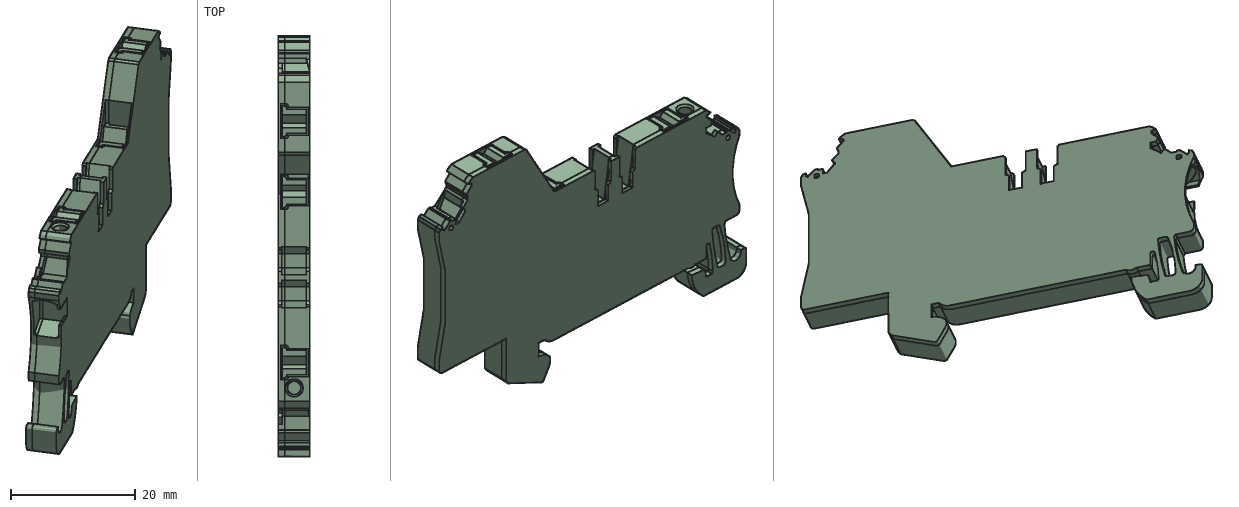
import cadquery as cq

LENGTH = 67.8
THICKNESS = 5.1
COVER_THICKNESS = 1.0
HIGH_TOP = 47.55
LOW_TOP = 36.15
BODY_BOTTOM = 12.4
RAIL_TOP = 7.1
FRONT_WALL = 1.5

LATCH = [
    (0.0, 7.4), (0.3, 6.85), (0.8, 6.65), (0.8, 7.2), (1.1, 7.45), (2.4, 6.25), (2.8, 6.25),
    (2.9, 6.45), (3.8, 6.45), (6.3, 3.9), (6.3, 3.45), (6.05, 2.7), (7.2, 1.4), (7.1, 1.1),
    (6.4, 0.9), (6.85, 0.4), (7.45, 0.0),
]

SLOT_CENTERS = (26.25, 31.6)
SLOT_MOUTH = 3.45
SLOT_FLOOR_WIDTH = 2.25
SLOT_STEP_DROP = 3.9
SLOT_STEP_HEIGHT = 0.4
SLOT_DEPTH = 7.4
DECK_CHAMFER = 0.35
SLOT_INNER_MOUTH = 4.5
SLOT_WALLS = (0.6, 4.5)
SLOT_INNER_DROP = 0.3

LEVER_CLEARANCE = 0.3
POCKET_X = (0.4, 4.8)
POCKET_STEM = 4.5
POCKET_FOOT = 5.55
POCKET_FOOT_END = 1.6
FOOT_CHAMFER = 0.3
POCKET_DEPTH = 4.1
LEVER_GROOVE_DEPTH = 0.9
REAR_LEVER_Y = 54.05
MIDDLE_LEVER_Y = 42.65
FRONT_LEVER_Y = 15.2
MIDDLE_LEVER_RISE = 1.7

PLAIN_GROOVE = (-0.35, 1.35, 0.7)
STEPPED_GROOVE = (0.2, 0.9, 1.1)
RELIEF_BACK_Y = 45.5

TEST_HOLE_Y = 11.1
TEST_HOLE_X = 2.6
TEST_HOLE_DIAMETER = 2.2
TEST_HOLE_MOUTH = 2.85
TEST_HOLE_DEPTH = 3.4

FUNNEL_Z = 23.65
FUNNEL_X = (0.5, 4.7)
FUNNEL_FLOOR_Y = 6.45
FUNNEL_FLOOR_HALF = 2.1
FUNNEL_MOUTH_HALF = 3.5
FUNNEL_MOUTH_Y = 2.7
FUNNEL_RADIUS = 3.8
FUNNEL_NOTCH_Z = (22.65, 25.9)

REAR_WINDOW = [(62.05, 41.8), (63.4, 40.15), (64.15, 40.15), (64.15, 41.3), (62.7, 42.7)]
FRONT_WINDOW = [(7.8, 32.7), (8.8, 32.7), (8.8, 31.6), (7.05, 30.1), (6.25, 30.9)]
REAR_CHANNEL = [(62.0, 41.8), (63.4, 40.15), (64.15, 40.15), (64.15, 41.3), (62.4, 43.55), (61.85, 43.55)]
FRONT_CHANNEL = [(7.8, 32.7), (8.8, 32.7), (8.8, 31.6), (6.6, 29.7), (5.3, 29.7)]
WINDOW_LIP = 0.7
WINDOW_WALL = 0.6

PIN_HOLES = [(65.15, 39.9), (4.0, 28.5)]
PIN_HOLE_DIAMETER = 0.9
PIN_HOLE_DEPTH = 0.7

CUT_MARGIN = 1.35


def prism(points, x_start, x_end):
    """Solid with a (Y, Z) outline, running from x_start to x_end."""
    return cq.Workplane("YZ", origin=(x_start, 0, 0)).polyline(points).close().extrude(x_end - x_start)


def block(x_range, y_range, z_range):
    """Axis-aligned box given by its ranges."""
    sizes = [high - low for low, high in (x_range, y_range, z_range)]
    corner = (x_range[0], y_range[0], z_range[0])
    return cq.Workplane("XY").box(*sizes, centered=False).translate(corner)


def body_profile():
    """Outer outline of housing and cover, running from the -Y latch over the deck and back."""
    front_latch = [(FRONT_WALL + inset, LOW_TOP - drop) for inset, drop in LATCH]
    rear_latch = [(LENGTH - inset, HIGH_TOP - drop) for inset, drop in reversed(LATCH)]
    return (
        cq.Workplane("YZ")
        .polyline(front_latch + [(42.4, LOW_TOP), (48.55, HIGH_TOP - 0.3), (49.0, HIGH_TOP)] + rear_latch)
        .lineTo(LENGTH, 38.4)
        .lineTo(66.5, 32.2)
        .lineTo(66.5, 21.85)
        .lineTo(LENGTH, 15.25)
        .lineTo(LENGTH, 13.1)
        .threePointArc((67.6, 12.6), (67.1, BODY_BOTTOM))
        .lineTo(53.0, BODY_BOTTOM)
        .lineTo(53.0, 4.1)
        .lineTo(52.55, 3.4)
        .lineTo(45.4, 0.2)
        .threePointArc((45.0, 0.15), (44.7, 0.4))
        .lineTo(43.55, 2.5)
        .threePointArc((43.25, 3.4), (43.4, 4.35))
        .threePointArc((44.35, 5.1), (45.85, 5.5))
        .lineTo(45.85, 8.15)
        .lineTo(44.55, 8.15)
        .threePointArc((43.7, 7.4), (42.6, RAIL_TOP))
        .lineTo(12.95, RAIL_TOP)
        .threePointArc((12.1, 6.85), (11.1, RAIL_TOP))
        .lineTo(8.8, RAIL_TOP)
        .lineTo(8.8, 9.5)
        .threePointArc((8.5, 9.8), (8.1, 9.4))
        .threePointArc((7.6, 6.7), (7.4, 3.85))
        .lineTo(7.6, 3.5)
        .lineTo(8.8, 3.5)
        .lineTo(9.1, 4.75)
        .threePointArc((9.3, 5.0), (9.55, 5.15))
        .lineTo(12.1, 5.35)
        .threePointArc((11.4, 2.6), (9.5, 0))
        .lineTo(2.2, 0)
        .threePointArc((0.64, 0.64), (0, 2.2))
        .lineTo(0, 4.75)
        .threePointArc((0.15, 5.0), (0.4, 5.15))
        .lineTo(1.2, 5.15)
        .threePointArc((2.4, 3.65), (3.45, 4.55))
        .threePointArc((4.35, 8.3), (4.8, 11.95))
        .lineTo(4.55, BODY_BOTTOM)
        .lineTo(2.2, BODY_BOTTOM)
        .threePointArc((1.7, 12.6), (FRONT_WALL, 13.1))
        .lineTo(FRONT_WALL, 14.25)
        .threePointArc((3.0, 21.0), (FRONT_WALL, 27.8))
        .close()
    )


def spring_opening():
    """Long opening between the two spring legs, cut through the full thickness."""
    return (
        cq.Workplane("YZ")
        .moveTo(7.5, 11.9)
        .threePointArc((7.1, 8.15), (6.4, 4.5))
        .threePointArc((6.2, 4.15), (5.8, 4.0))
        .lineTo(5.0, 4.0)
        .threePointArc((4.7, 4.2), (4.55, 4.55))
        .threePointArc((4.95, 8.5), (5.8, 11.9))
        .threePointArc((6.0, 12.2), (6.25, 12.35))
        .lineTo(7.2, 12.35)
        .threePointArc((7.45, 12.2), (7.5, 11.9))
        .close()
        .extrude(THICKNESS)
    )


def jumper_slot(center):
    """Stepped slot through the side walls plus a wider tapered opening between them."""
    floor = LOW_TOP - SLOT_DEPTH
    step = LOW_TOP - SLOT_STEP_DROP
    mouth_half = SLOT_MOUTH / 2
    floor_half = SLOT_FLOOR_WIDTH / 2
    inner_half = SLOT_INNER_MOUTH / 2
    right_side = [
        (floor_half, floor),
        (floor_half, step - SLOT_STEP_HEIGHT),
        (mouth_half, step),
        (mouth_half, LOW_TOP),
    ]
    left_side = [(-offset, z) for offset, z in reversed(right_side)]
    stepped = prism([(center + offset, z) for offset, z in right_side + left_side], 0, THICKNESS)
    taper = [
        (center - floor_half, floor - SLOT_INNER_DROP),
        (center + floor_half, floor - SLOT_INNER_DROP),
        (center + inner_half, LOW_TOP),
        (center - inner_half, LOW_TOP),
    ]
    between_walls = block(SLOT_WALLS, (center - SLOT_MOUTH, center + SLOT_MOUTH), (floor, LOW_TOP))
    return stepped.cut(between_walls).union(prism(taper, *SLOT_WALLS))


def deck_chamfer(center, direction):
    """Chamfer on the deck corner of a slot, on its +Y (1) or -Y (-1) side."""
    edge = center + direction * SLOT_MOUTH / 2
    corner = [(edge, LOW_TOP), (edge + direction * DECK_CHAMFER, LOW_TOP), (edge, LOW_TOP - DECK_CHAMFER)]
    return prism(corner, 0, THICKNESS)


def lever_column(center, inset, bottom, top):
    """T-shaped upright column: the lever pocket, or with an inset the lever itself."""
    x_foot = POCKET_X[0] + inset
    x_stem = POCKET_X[1] - inset
    foot_half = POCKET_FOOT / 2 - inset
    stem_half = POCKET_STEM / 2 - inset
    foot_end = POCKET_FOOT_END - inset
    right_side = [
        (x_foot, foot_half),
        (foot_end - FOOT_CHAMFER, foot_half),
        (foot_end, foot_half - FOOT_CHAMFER),
        (foot_end, stem_half),
        (x_stem, stem_half),
    ]
    left_side = [(x, -offset) for x, offset in reversed(right_side)]
    outline = [(x, center + offset) for x, offset in right_side + left_side]
    return cq.Workplane("XY", origin=(0, 0, bottom)).polyline(outline).close().extrude(top - bottom)


def lever_pocket(center, deck):
    """Pocket for a release lever, open upwards."""
    return lever_column(center, 0, deck - POCKET_DEPTH, HIGH_TOP + CUT_MARGIN)


def slope_relief():
    """Opening in the sloping shoulder that gives access to the middle lever."""
    back_range = (MIDDLE_LEVER_Y, RELIEF_BACK_Y)
    return block(POCKET_X, back_range, (LOW_TOP, HIGH_TOP))


def release_lever(center, deck, rise, groove):
    """T-shaped lever standing on its pocket floor, with a finger groove across its top.

    With a rise, the lever is higher behind the groove than in front of it.
    """
    offset, back_run, front_run = groove
    groove_y = center + offset
    outline = [
        (groove_y + back_run, deck + rise),
        (groove_y, deck - LEVER_GROOVE_DEPTH),
        (groove_y - front_run, deck),
    ]
    if rise:
        front_end = center - POCKET_FOOT
        outline += [(front_end, deck), (front_end, deck + rise)]
    column = lever_column(center, LEVER_CLEARANCE, deck - POCKET_DEPTH, deck + rise)
    return column.cut(prism(outline, 0, THICKNESS))


def test_hole():
    """Round blind hole with a countersunk mouth."""
    sink = (TEST_HOLE_MOUTH - TEST_HOLE_DIAMETER) / 2
    half_section = [
        (0, LOW_TOP),
        (TEST_HOLE_MOUTH / 2, LOW_TOP),
        (TEST_HOLE_DIAMETER / 2, LOW_TOP - sink),
        (TEST_HOLE_DIAMETER / 2, LOW_TOP - TEST_HOLE_DEPTH),
        (0, LOW_TOP - TEST_HOLE_DEPTH),
    ]
    hole = cq.Workplane("XZ").polyline(half_section).close().revolve(360, (0, 0, 0), (0, 1, 0))
    return hole.translate((TEST_HOLE_X, TEST_HOLE_Y, 0))


def wire_funnel():
    """Wire entry: a flat-floored flaring opening with a rounded mouth, notched through the +X wall."""
    flare = (FUNNEL_MOUTH_HALF - FUNNEL_FLOOR_HALF) / (FUNNEL_FLOOR_Y - FUNNEL_MOUTH_Y)
    outer_half = FUNNEL_FLOOR_HALF + flare * FUNNEL_FLOOR_Y
    opening = prism(
        [
            (FUNNEL_FLOOR_Y, FUNNEL_Z - FUNNEL_FLOOR_HALF),
            (FUNNEL_FLOOR_Y, FUNNEL_Z + FUNNEL_FLOOR_HALF),
            (0, FUNNEL_Z + outer_half),
            (0, FUNNEL_Z - outer_half),
        ],
        *FUNNEL_X,
    )
    rounding = (
        cq.Workplane("XZ", origin=(sum(FUNNEL_X) / 2, 0, FUNNEL_Z))
        .circle(FUNNEL_RADIUS)
        .extrude(-FUNNEL_FLOOR_Y)
    )
    notch = block((FUNNEL_X[1], THICKNESS), (0, FUNNEL_FLOOR_Y), FUNNEL_NOTCH_Z)
    return opening.intersect(rounding).union(notch)


def marker_window(window, channel):
    """Window in the cover side opening into a longer channel behind its lip.

    A wall is left on the +X side, tapering to nothing towards -Y.
    """
    y_values = [y for y, z in window]
    wall = (
        cq.Workplane("XY")
        .moveTo(THICKNESS, min(y_values))
        .lineTo(THICKNESS, max(y_values))
        .lineTo(THICKNESS - WINDOW_WALL, max(y_values))
        .close()
        .extrude(HIGH_TOP)
    )
    opening = prism(window, 0, THICKNESS).union(prism(channel, WINDOW_LIP, THICKNESS))
    return opening.cut(wall)


def pin_holes():
    """Small blind latch pin holes in the cover face."""
    return cq.Workplane("YZ").pushPoints(PIN_HOLES).circle(PIN_HOLE_DIAMETER / 2).extrude(PIN_HOLE_DEPTH)


levers = [
    (REAR_LEVER_Y, HIGH_TOP, 0, PLAIN_GROOVE),
    (MIDDLE_LEVER_Y, LOW_TOP, MIDDLE_LEVER_RISE, STEPPED_GROOVE),
    (FRONT_LEVER_Y, LOW_TOP, 0, PLAIN_GROOVE),
]
shell = body_profile().extrude(THICKNESS).cut(spring_opening())
for slot_center in SLOT_CENTERS:
    shell = shell.cut(jumper_slot(slot_center))
shell = shell.cut(deck_chamfer(max(SLOT_CENTERS), 1)).cut(deck_chamfer(min(SLOT_CENTERS), -1))
for lever_center, lever_deck, *_ in levers:
    shell = shell.cut(lever_pocket(lever_center, lever_deck))
shell = shell.cut(slope_relief())
shell = shell.cut(marker_window(REAR_WINDOW, REAR_CHANNEL))
shell = shell.cut(marker_window(FRONT_WINDOW, FRONT_CHANNEL))
shell = shell.cut(test_hole()).cut(wire_funnel()).cut(pin_holes())

y_span = (-CUT_MARGIN, LENGTH + CUT_MARGIN)
z_span = (-CUT_MARGIN, HIGH_TOP + CUT_MARGIN)
cover = shell.intersect(block((0, COVER_THICKNESS), y_span, z_span))
housing = shell.intersect(block((COVER_THICKNESS, THICKNESS), y_span, z_span))
release_levers = [release_lever(*lever).solids().val() for lever in levers]

result = cq.Compound.makeCompound([housing.solids().val(), cover.solids().val(), *release_levers])